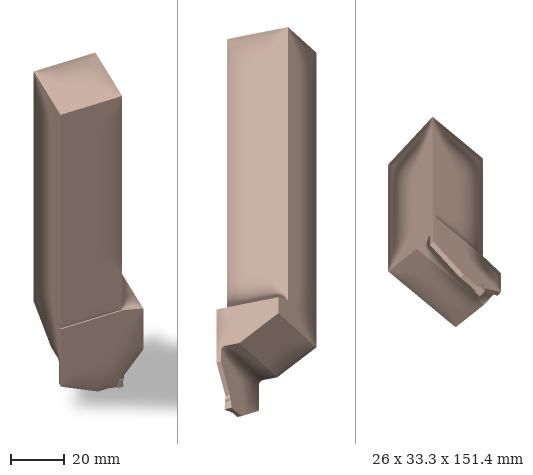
import cadquery as cq

total_height = 151.4
shank_size = 25.0
relief_step = 0.5
head_right = shank_size + relief_step

head_depth = 33.3
head_top = 39.5
shoulder_outer_z = 37.2
ramp_top = 30.7
ramp_bottom = 21.6
ramp_width = 16.0
blade_thickness = 1.8
blade_left = head_right - blade_thickness
blade_root_radius = 1.8

blade_bottom = 0.9
blade_heel_z = 9.4
blade_heel_y = 15.0
blade_nose_z = 15.6

insert_back_y = 20.0
insert_top_z = 10.0
insert_top_y = 23.8
insert_neck_y = 24.7
insert_lip_y = 25.5
insert_lip_top = 5.1
insert_lip_bottom = 3.6
rake_top = 3.0
insert_back_z = 0.6
edge_y = shank_size

tip_left = 23.2
tip_right = 26.0
tip_taper = 0.3
tip_top_y = 23.6
tip_heel_y = 22.4


def prism_along_x(points, x_start, x_end):
    """Extrude a closed (y, z) outline between two X positions."""
    return cq.Workplane("YZ").workplane(offset=x_start).polyline(points).close().extrude(x_end - x_start)


def clearance_z(y):
    """Height of the insert's sloping underside, zero at the cutting edge."""
    return insert_back_z * (edge_y - y) / (edge_y - insert_back_y)


def make_insert_blank():
    """Flat insert, flush with both sides of the blade."""
    outline = [
        (insert_back_y, insert_back_z),
        (insert_back_y, insert_top_z),
        (insert_top_y, insert_top_z),
        (insert_neck_y, insert_lip_top),
        (insert_lip_y, insert_lip_top),
        (insert_lip_y, insert_lip_bottom),
        (edge_y, rake_top),
        (edge_y, 0),
    ]
    return prism_along_x(outline, blade_left, head_right)


def make_cutting_tip():
    """Tip side outline trimmed by a front outline that widens toward the cutting edge."""
    side = prism_along_x(
        [
            (tip_heel_y, clearance_z(tip_heel_y)),
            (tip_top_y, insert_lip_bottom),
            (insert_lip_y, insert_lip_bottom),
            (edge_y, rake_top),
            (edge_y, 0),
        ],
        tip_left,
        tip_right,
    )
    front = (
        cq.Workplane("XZ")
        .moveTo(tip_left, 0)
        .lineTo(tip_right, 0)
        .lineTo(tip_right - tip_taper, insert_lip_bottom)
        .lineTo(tip_left + tip_taper, insert_lip_bottom)
        .close()
        .extrude(-head_depth)
    )
    return side.intersect(front)


def make_head():
    """Ramped block and blade, trimmed to the head's YZ outline."""
    root_corner = (blade_left, ramp_bottom)
    front = (
        cq.Workplane("XZ")
        .moveTo(0, head_top)
        .lineTo(0, ramp_top)
        .lineTo(ramp_width, ramp_bottom)
        .lineTo(root_corner[0] - blade_root_radius, root_corner[1])
        .radiusArc((root_corner[0], root_corner[1] - blade_root_radius), blade_root_radius)
        .lineTo(blade_left, 0)
        .lineTo(head_right, 0)
        .lineTo(head_right, head_top)
        .close()
        .extrude(-head_depth)
    )
    side = prism_along_x(
        [
            (0, head_top),
            (shank_size, head_top),
            (head_depth, shoulder_outer_z),
            (head_depth, blade_nose_z),
            (insert_lip_y, insert_lip_top),
            (insert_neck_y, insert_lip_top),
            (insert_neck_y, blade_bottom),
            (blade_heel_y, blade_bottom),
            (0, blade_heel_z),
        ],
        0,
        head_right,
    )
    return front.intersect(side)


def make_holder():
    """One-piece shank and head with an open seat for the insert."""
    shank = cq.Workplane("XY").box(shank_size, shank_size, total_height - ramp_top, centered=False)
    shank = shank.translate((0, 0, ramp_top))
    return shank.union(make_head()).cut(make_insert_blank())


holder = make_holder()
insert = make_insert_blank().union(make_cutting_tip())

result = cq.Compound.makeCompound([*holder.solids().vals(), *insert.solids().vals()])